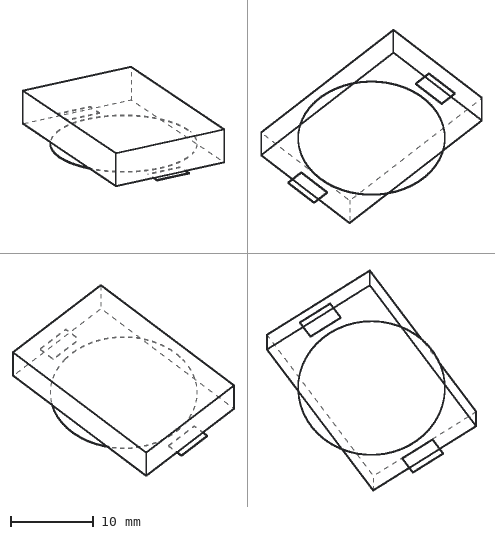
import cadquery as cq

overall_length = 24.2
overall_height = 4.43

contact_thickness = 0.1
disc_diameter = 17.79
tab_length = 2.27
tab_width = 4.45

housing_length = 22.75
housing_width = 15.12
housing_height = overall_height - contact_thickness


def make_housing():
    """Plain block resting on top of the contacts."""
    return (
        cq.Workplane("XY")
        .workplane(offset=contact_thickness)
        .rect(housing_length, housing_width)
        .extrude(housing_height)
    )


def make_disc_contact():
    """Round central contact, wider than the housing along Y."""
    return cq.Workplane("XY").circle(disc_diameter / 2).extrude(contact_thickness)


def make_tab_contact(side):
    """Rectangular end contact; side is -1 or +1 along X."""
    center_x = side * (overall_length - tab_length) / 2
    return (
        cq.Workplane("XY")
        .center(center_x, 0)
        .rect(tab_length, tab_width)
        .extrude(contact_thickness)
    )


housing = make_housing()
disc_contact = make_disc_contact()
tab_contacts = [make_tab_contact(side) for side in (-1, 1)]

result = cq.Compound.makeCompound(
    [housing.val(), disc_contact.val(), *[tab.val() for tab in tab_contacts]]
)